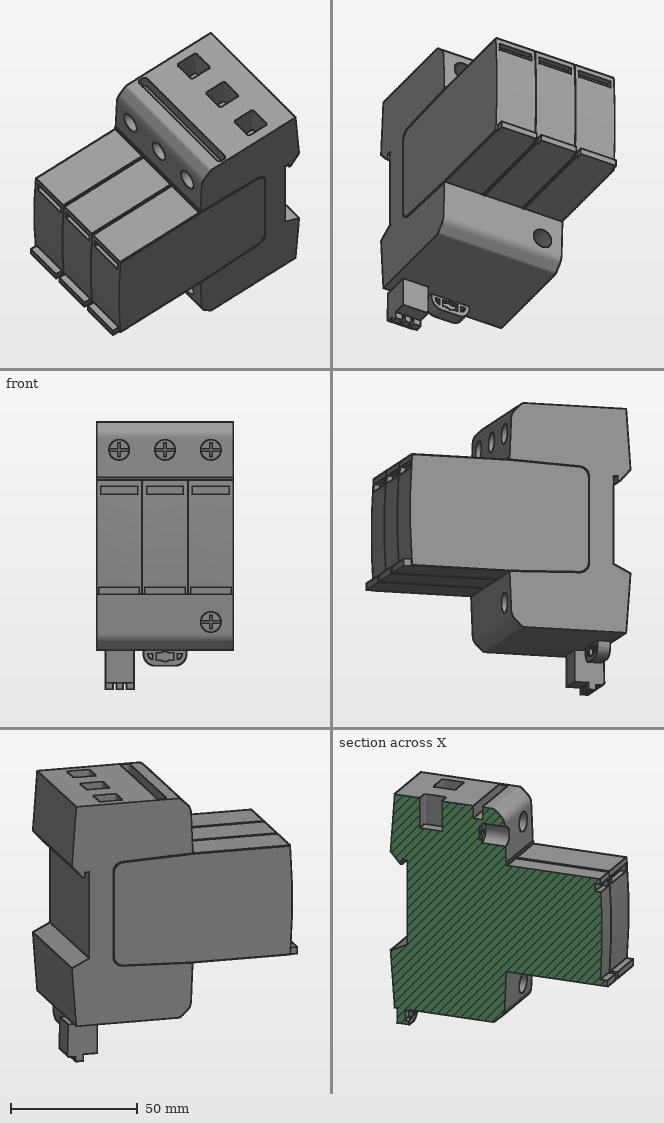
import cadquery as cq


selection_margin = 0.1

width = 54.0
base_height = 90.1
pole_count = 3
module_gap = 0.3
module_width = (width - (pole_count - 1) * module_gap) / pole_count
pole_pitch = module_width + module_gap
pole_positions = [(index - (pole_count - 1) / 2) * pole_pitch for index in range(pole_count)]
back_edge_y = 5.3
back_bulge_y = 7.1
hook_back_z = 65.7
hook_seat_z = 62.8
hook_tip_back = (3.0, 61.2)
hook_tip_low = (2.3, 60.8)
hook_tip_front = (1.8, 61.4)
hook_groove_y = 1.7
foot_seat_z = 27.5
foot_back_z = 24.0
nose_y = -37.4
brow_y = -41.9
brow_drop = 4.2
face_y = -42.7
nose_radius = 2.1
brow_radius = 5.0
ledge_reach = 0.4
ledge_height = 1.1
ledge_lip = 0.3

module_back_y = -9.9
module_front_y = -82.8
module_bulge_y = -83.7
module_bottom_z = 22.1
module_top_z = 67.1
module_taper = 1.3
module_corner_radius = 4.2
module_edge_chamfer = 0.3
window_width = 14.6
window_height = 3.1
window_drop = 2.4
window_depth = 2.1
handle_width = 16.1
handle_height = 2.7
handle_front_y = -86.0

screw_inset_z = 11.1
screw_hole_diameter = 8.0
screw_hole_depth = 10.6
cross_slot_width = 1.1
cross_slot_height = 5.5
cross_slot_length = 7.8
cross_slot_depth = 1.1
wire_entry_size = 9.4
wire_entry_y = -10.4
wire_entry_depth = 12.7
wire_entry_radius = 0.7
label_slot_length = 51.6
label_slot_width = 3.8
label_slot_y = -30.5
label_slot_depth = 5.3
label_slot_radius = 1.1

connector_x = -17.8
connector_width = 11.4
connector_back_y = 7.9
connector_front_y = -4.4
connector_height = 12.8
connector_back_slope = 0.3
heel_depth = 0.7
prong_back_y = 4.4
prong_front_y = 1.4
prong_tip_z = -15.5
prong_slot_spacing = 4.0
prong_slot_width = 1.3
prong_slot_top_z = -13.1

clip_width = 17.1
clip_drop = 6.2
clip_radius = 4.8
clip_front_y = -1.1
clip_thickness = 5.3
clip_overlap = 0.5
clip_pocket_depth = 1.6
clip_pocket_z = -2.5
clip_pocket_half_width = 3.4
clip_pocket_half_height = 1.5
clip_pocket_peak = 2.1
side_pocket_inner_x = 4.9
side_pocket_outer_x = 6.8
side_pocket_half_height = 1.2
side_pocket_radius = 2.3


def extrude_across(outline, length):
    """Extrude a YZ outline along X, centred on X = 0."""
    return outline.extrude(length / 2, both=True)


def front_plane(y):
    """Plane at the given Y with local x = X, local y = Z, facing -Y."""
    return cq.Workplane("XZ", origin=(0, y, 0))


def block(x_size, y_range, z_range, x_centre=0):
    """Box centred on x_centre and spanning the given Y and Z ranges."""
    y_low, y_high = y_range
    z_low, z_high = z_range
    return cq.Workplane("XY").box(x_size, y_high - y_low, z_high - z_low).translate(
        (x_centre, (y_low + y_high) / 2, (z_low + z_high) / 2)
    )


def edge_at(y, z):
    """Selector for the full-width edges passing through (y, z)."""
    return cq.selectors.BoxSelector(
        (-width, y - selection_margin, z - selection_margin),
        (width, y + selection_margin, z + selection_margin),
    )


def make_base():
    """Base with the rail hook and foot at the back and a ledge above the modules."""
    outline = (
        cq.Workplane("YZ")
        .moveTo(back_edge_y, base_height)
        .lineTo(back_bulge_y, hook_back_z)
        .lineTo(*hook_tip_back)
        .threePointArc(hook_tip_low, hook_tip_front)
        .lineTo(hook_groove_y, hook_seat_z)
        .lineTo(0, hook_seat_z)
        .lineTo(0, foot_seat_z)
        .lineTo(back_bulge_y, foot_back_z)
        .lineTo(back_edge_y, 0)
        .lineTo(nose_y, 0)
        .lineTo(brow_y, brow_drop)
        .lineTo(face_y, module_bottom_z)
        .lineTo(face_y, module_top_z + ledge_height)
        .lineTo(brow_y, base_height - brow_drop)
        .lineTo(nose_y, base_height)
        .close()
    )
    base = extrude_across(outline, width)
    for z in (0, base_height):
        base = base.edges(edge_at(nose_y, z)).fillet(nose_radius)
    for z in (brow_drop, base_height - brow_drop):
        base = base.edges(edge_at(brow_y, z)).fillet(brow_radius)
    ledge_outline = (
        cq.Workplane("YZ")
        .moveTo(face_y, module_top_z + ledge_height)
        .lineTo(face_y - ledge_reach, module_top_z + ledge_lip)
        .lineTo(face_y - ledge_reach, module_top_z)
        .lineTo(face_y, module_top_z)
        .close()
    )
    return base.union(extrude_across(ledge_outline, width))


def module_body(body_width):
    """Plain module block with a tapered, rounded back and a bowed front."""
    middle_z = (module_bottom_z + module_top_z) / 2
    outline = (
        cq.Workplane("YZ")
        .moveTo(module_back_y, module_bottom_z + module_taper)
        .lineTo(face_y, module_bottom_z)
        .lineTo(module_front_y, module_bottom_z)
        .threePointArc((module_bulge_y, middle_z), (module_front_y, module_top_z))
        .lineTo(face_y, module_top_z)
        .lineTo(module_back_y, module_top_z - module_taper)
        .close()
    )
    body = extrude_across(outline, body_width)
    return body.faces(">Y").edges("|X").fillet(module_corner_radius)


def make_module():
    """Module with chamfered side edges, a front window and a pull handle."""
    module = module_body(module_width)
    front_edges = cq.selectors.BoxSelector(
        (-width, module_bulge_y - selection_margin, 0),
        (width, module_front_y + selection_margin, base_height),
    )
    side_edges = module.faces("<X or >X").edges()
    module = side_edges.edges(cq.selectors.InverseSelector(front_edges)).chamfer(module_edge_chamfer)
    window_top = module_top_z - window_drop
    module = module.cut(
        block(
            window_width,
            (module_bulge_y, module_front_y + window_depth),
            (window_top - window_height, window_top),
        )
    )
    handle = block(
        handle_width,
        (handle_front_y, module_front_y),
        (module_bottom_z, module_bottom_z + handle_height),
    )
    return module.union(handle)


def screw_recess(x, z):
    """Round hole with a cross-slotted screw head at its bottom."""
    floor_y = face_y + screw_hole_depth
    hole_length = screw_hole_depth + ledge_reach
    hole = front_plane(floor_y).center(x, z).circle(screw_hole_diameter / 2).extrude(hole_length)
    for slot_size in ((cross_slot_width, cross_slot_height), (cross_slot_length, cross_slot_width)):
        slot = front_plane(floor_y).center(x, z).rect(*slot_size).extrude(-cross_slot_depth)
        hole = hole.union(slot)
    return hole


def top_pocket(x, y, x_size, y_size, depth, radius):
    """Rectangular pocket sunk from the top of the base, with rounded corners."""
    pocket = cq.Workplane("XY", origin=(x, y, base_height)).rect(x_size, y_size).extrude(-depth)
    return pocket.edges("|Z").fillet(radius)


def make_connector():
    """Signal connector hanging below the base, with a slotted prong row."""
    heel_z = -connector_height - heel_depth
    outline = (
        cq.Workplane("YZ")
        .moveTo(connector_back_y - connector_back_slope, 0)
        .lineTo(connector_back_y, -connector_height)
        .lineTo(connector_back_y - heel_depth, heel_z)
        .lineTo(prong_back_y, heel_z)
        .lineTo(prong_back_y, prong_tip_z)
        .lineTo(prong_front_y, prong_tip_z)
        .lineTo(prong_front_y, -connector_height)
        .lineTo(connector_front_y, -connector_height)
        .lineTo(connector_front_y, 0)
        .close()
    )
    connector = extrude_across(outline, connector_width)
    for side in (-1, 1):
        slot = block(
            prong_slot_width,
            (connector_front_y, connector_back_y),
            (prong_tip_z, prong_slot_top_z),
            side * prong_slot_spacing / 2,
        )
        connector = connector.cut(slot)
    return connector.translate((connector_x, 0, 0))


def make_clip():
    """Release clip below the base, with three shallow pockets in its front."""
    clip = block(clip_width, (clip_front_y, clip_front_y + clip_thickness), (-clip_drop, clip_overlap))
    clip = clip.faces("<Z").edges("|Y").fillet(clip_radius)
    half_width = clip_pocket_half_width
    half_height = clip_pocket_half_height
    middle_pocket = (
        front_plane(clip_front_y)
        .center(0, clip_pocket_z)
        .polyline(
            [
                (-half_width, -half_height),
                (-half_width / 2, -half_height),
                (0, -clip_pocket_peak),
                (half_width / 2, -half_height),
                (half_width, -half_height),
                (half_width, half_height),
                (half_width / 2, half_height),
                (0, clip_pocket_peak),
                (-half_width / 2, half_height),
                (-half_width, half_height),
            ]
        )
        .close()
        .extrude(-clip_pocket_depth)
    )
    clip = clip.cut(middle_pocket)
    pocket_size = side_pocket_outer_x - side_pocket_inner_x
    for side in (-1, 1):
        side_pocket = (
            front_plane(clip_front_y)
            .center(side * side_pocket_inner_x, clip_pocket_z)
            .moveTo(0, -side_pocket_half_height)
            .radiusArc((side * pocket_size, side_pocket_half_height), -side * side_pocket_radius)
            .lineTo(0, side_pocket_half_height)
            .close()
            .extrude(-clip_pocket_depth)
        )
        clip = clip.cut(side_pocket)
    return clip


result = make_base().cut(module_body(width))

for pole_x in pole_positions:
    result = result.union(make_module().translate((pole_x, 0, 0)))
    result = result.cut(screw_recess(pole_x, base_height - screw_inset_z))
    result = result.cut(
        top_pocket(
            pole_x, wire_entry_y, wire_entry_size, wire_entry_size, wire_entry_depth, wire_entry_radius
        )
    )

result = result.cut(screw_recess(pole_positions[-1], screw_inset_z))
result = result.cut(
    top_pocket(0, label_slot_y, label_slot_length, label_slot_width, label_slot_depth, label_slot_radius)
)
result = result.union(make_connector()).union(make_clip())